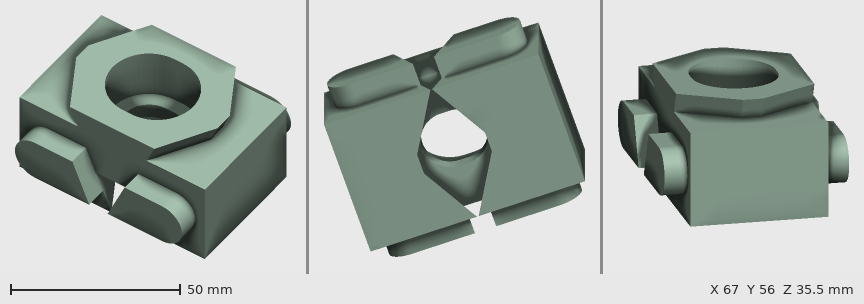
import cadquery as cq
import math

LENGTH = 67.0
DEPTH = 41.95
JAW_HEIGHT = 29.0
TOP_HEIGHT = 35.5
WEDGE_BOTTOM = 13.5

END_HALF_WIDTH = 15.2
CORNER_ANGLE = 30.0
FLAT_LENGTH = 6.15
BOTTOM_HALF_GAP = 0.3

LUG_SPAN_Y = 56.0
LUG_HEIGHT = 14.55
LUG_OUTER_X = 30.15

BORE_STRETCH = 2.9
COUNTERBORE_DIAMETER = 26.05
HOLE_DIAMETER = 17.15
COUNTERBORE_FLOOR = 18.6

HALF_DEPTH = DEPTH / 2
HALF_FLAT = FLAT_LENGTH / 2
SIDE_BULGE = (HALF_DEPTH - HALF_FLAT) * math.tan(math.radians(CORNER_ANGLE))
SIDE_SLOPE = (END_HALF_WIDTH - BOTTOM_HALF_GAP) / TOP_HEIGHT


def end_half_width(z):
    """Half width of the V at its front and back ends at height z."""
    return BOTTOM_HALF_GAP + SIDE_SLOPE * z


def hexagon_points(z):
    """Corners of the wedge outline at height z."""
    end = end_half_width(z)
    middle = end + SIDE_BULGE
    return [
        (end, -HALF_DEPTH),
        (middle, -HALF_FLAT),
        (middle, HALF_FLAT),
        (end, HALF_DEPTH),
        (-end, HALF_DEPTH),
        (-middle, HALF_FLAT),
        (-middle, -HALF_FLAT),
        (-end, -HALF_DEPTH),
    ]


def wedge_blank(bottom):
    """Solid hexagonal wedge from the given height up to the top."""
    return (
        cq.Workplane("XY", origin=(0, 0, bottom))
        .polyline(hexagon_points(bottom))
        .close()
        .workplane(offset=TOP_HEIGHT - bottom)
        .polyline(hexagon_points(TOP_HEIGHT))
        .close()
        .loft(ruled=True)
    )


def bore(diameter, bottom):
    """Elongated bore from the given height up to the top."""
    return (
        cq.Workplane("XY", origin=(0, 0, bottom))
        .slot2D(diameter + BORE_STRETCH, diameter)
        .extrude(TOP_HEIGHT - bottom)
    )


def make_wedge():
    through_hole = bore(HOLE_DIAMETER, WEDGE_BOTTOM)
    counterbore = bore(COUNTERBORE_DIAMETER, COUNTERBORE_FLOOR)
    return wedge_blank(WEDGE_BOTTOM).cut(through_hole).cut(counterbore)


def v_channel():
    """Straight V that trims the inner ends of the jaws and their lugs."""
    top_half_width = end_half_width(TOP_HEIGHT)
    return (
        cq.Workplane("XZ")
        .polyline([
            (-BOTTOM_HALF_GAP, 0),
            (BOTTOM_HALF_GAP, 0),
            (top_half_width, TOP_HEIGHT),
            (-top_half_width, TOP_HEIGHT),
        ])
        .close()
        .extrude(LUG_SPAN_Y / 2, both=True)
    )


def make_jaw(side):
    """One jaw with its lugs; side is -1 for the -X jaw and 1 for the +X jaw."""
    half_length = LENGTH / 2
    block = (
        cq.Workplane("XY")
        .box(half_length, DEPTH, JAW_HEIGHT, centered=(True, True, False))
        .translate((side * half_length / 2, 0, 0))
    )
    lugs = (
        cq.Workplane("XZ", origin=(0, 0, JAW_HEIGHT / 2))
        .slot2D(2 * LUG_OUTER_X, LUG_HEIGHT)
        .extrude(LUG_SPAN_Y / 2, both=True)
    )
    own_half = (
        cq.Workplane("XY")
        .box(half_length, LUG_SPAN_Y, JAW_HEIGHT, centered=(True, True, False))
        .translate((side * half_length / 2, 0, 0))
    )
    return block.union(lugs.intersect(own_half)).cut(v_channel()).cut(wedge_blank(0))


wedge = make_wedge()
jaws = [make_jaw(side) for side in (-1, 1)]

result = cq.Compound.makeCompound([wedge.val(), *[jaw.val() for jaw in jaws]])